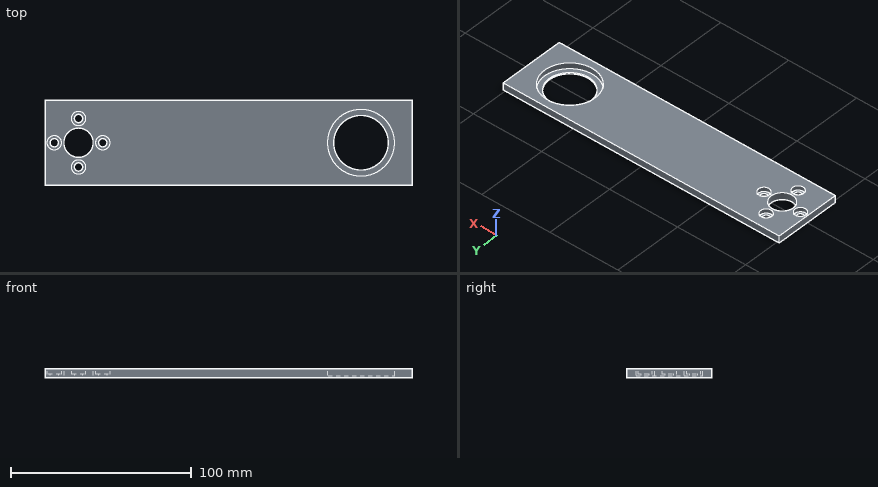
import cadquery as cq

length = 203.0
width = 47.0
thickness = 5.0
middle_y = width / 2

seat_x = 174.5
seat_diameter = 37.0
seat_bore_diameter = 30.0
seat_depth = 4.0

shaft_x = 18.5
shaft_diameter = 16.0
screw_count = 4
screw_circle_radius = 13.4
screw_diameter = 4.5
screw_head_diameter = 8.0
screw_head_depth = 3.0


def plain_plate():
    return cq.Workplane("XY").box(length, width, thickness, centered=False)


def top_plane(plate, x):
    """Work plane on the plate's upper face, centred across the width at x."""
    return plate.faces(">Z").workplane(origin=(x, middle_y, thickness))


def cut_ring_seat(plate):
    return top_plane(plate, seat_x).cboreHole(seat_bore_diameter, seat_diameter, seat_depth)


def cut_shaft_hole(plate):
    return top_plane(plate, shaft_x).hole(shaft_diameter)


def cut_screw_holes(plate):
    return (
        top_plane(plate, shaft_x)
        .polarArray(screw_circle_radius, 0, 360, screw_count)
        .cboreHole(screw_diameter, screw_head_diameter, screw_head_depth)
    )


result = cut_screw_holes(cut_shaft_hole(cut_ring_seat(plain_plate())))